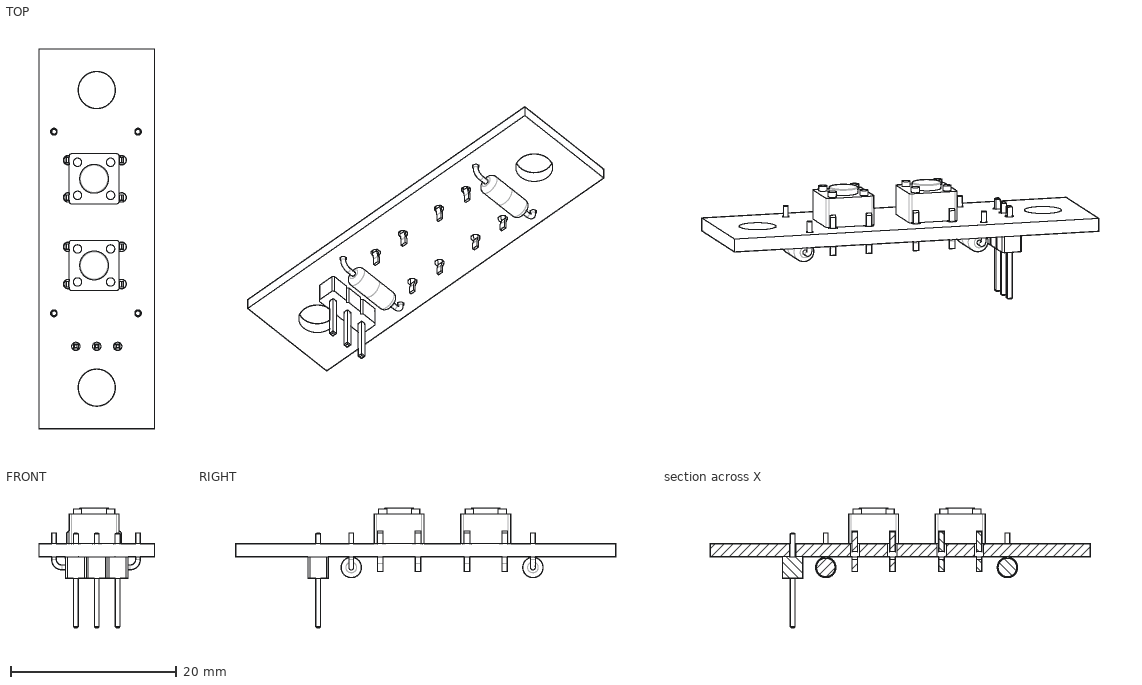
import cadquery as cq

BOARD_WIDTH = 14.0
BOARD_LENGTH = 46.0
BOARD_THICKNESS = 1.6
BOARD_BOTTOM = -BOARD_THICKNESS
MOUNT_HOLE_DIAMETER = 4.45
MOUNT_HOLE_SPACING = 36.0

SWITCH_X = -0.3
SWITCH_YS = (7.25, -3.2)
CASE_SIDE = 6.05
CASE_HEIGHT = 3.6
CASE_CORNER_FILLET = 0.3
CAP_DIAMETER = 3.5
CAP_HEIGHT = 0.75
CAP_FILLET = 0.1
NUB_DIAMETER = 1.0
NUB_HEIGHT = 0.6
NUB_SPACING = 4.0
LEG_WIDTH = 0.7
LEG_SPACING = 4.55
LEG_THICKNESS = 0.28
LEG_TOP = 1.5
LEG_TOP_CHAMFER = 0.25
LEG_BULGE = 0.25
LEG_KINK_DEPTH = 0.85
LEG_TIP_DEPTH = 1.8
LEG_HOLE_DIAMETER = 1.1
LEG_HOLE_SPACING_X = 6.5
LEG_HOLE_SPACING_Y = 4.5
LEG_HOLE_CENTER_X = -0.25

RESISTOR_X = -0.1
RESISTOR_YS = (12.95, -9.0)
RESISTOR_DIAMETER = 2.5
RESISTOR_LENGTH = 6.45
RESISTOR_END_FILLET = 0.6
RESISTOR_GAP = 0.05
RESISTOR_AXIS_Z = BOARD_BOTTOM - RESISTOR_GAP - RESISTOR_DIAMETER / 2
LEAD_DIAMETER = 0.6
LEAD_SPACING = 10.15
LEAD_BEND_RADIUS = 0.95
LEAD_TOP = 1.3
LEAD_HOLE_DIAMETER = 0.8

HEADER_Y = -13.0
PIN_COUNT = 3
PIN_PITCH = 2.55
PIN_XS = [(i - (PIN_COUNT - 1) / 2) * PIN_PITCH for i in range(PIN_COUNT)]
PIN_SIDE = 0.6
PIN_TOP = 1.3
PIN_LENGTH_BELOW_BOARD = 8.6
PIN_TIP_CHAMFER = 0.15
PIN_HOLE_DIAMETER = 1.0
HOUSING_DEPTH = 2.5
HOUSING_HEIGHT = 2.6
HOUSING_CHAMFER = 0.25


def drill(board, centers, diameter):
    """Drill a through hole in the board at each centre."""
    holes = cq.Workplane("XY").pushPoints(centers).circle(diameter / 2).extrude(-BOARD_THICKNESS)
    return board.cut(holes)


def make_board():
    """Plate with two mounting holes and a clearance hole for every lead, leg and pin."""
    board = cq.Workplane("XY").rect(BOARD_WIDTH, BOARD_LENGTH).extrude(-BOARD_THICKNESS)

    mount_holes = [(0, side * MOUNT_HOLE_SPACING / 2) for side in (-1, 1)]
    lead_holes = [(RESISTOR_X + side * LEAD_SPACING / 2, y) for side in (-1, 1) for y in RESISTOR_YS]
    pin_holes = [(x, HEADER_Y) for x in PIN_XS]
    leg_holes = [
        (LEG_HOLE_CENTER_X + side_x * LEG_HOLE_SPACING_X / 2, y + side_y * LEG_HOLE_SPACING_Y / 2)
        for y in SWITCH_YS
        for side_x in (-1, 1)
        for side_y in (-1, 1)
    ]

    board = drill(board, mount_holes, MOUNT_HOLE_DIAMETER)
    board = drill(board, lead_holes, LEAD_HOLE_DIAMETER)
    board = drill(board, pin_holes, PIN_HOLE_DIAMETER)
    return drill(board, leg_holes, LEG_HOLE_DIAMETER)


def make_leg():
    """Kinked strip on the +X side of a switch, centred on Y = 0."""
    inner = CASE_SIDE / 2
    outer = inner + LEG_THICKNESS
    kink_z = BOARD_BOTTOM - LEG_KINK_DEPTH
    tip_z = BOARD_BOTTOM - LEG_TIP_DEPTH
    profile = [
        (inner, LEG_TOP),
        (outer - LEG_TOP_CHAMFER, LEG_TOP),
        (outer, LEG_TOP - LEG_TOP_CHAMFER),
        (outer, 0),
        (outer + LEG_BULGE, BOARD_BOTTOM),
        (outer, kink_z),
        (outer, tip_z),
        (inner, tip_z),
        (inner, kink_z),
        (inner + LEG_BULGE, BOARD_BOTTOM),
        (inner, 0),
    ]
    return cq.Workplane("XZ").polyline(profile).close().extrude(LEG_WIDTH / 2, both=True)


def make_switch(y):
    """Square case with a round cap, four corner nubs and four legs through the board."""
    case = cq.Workplane("XY").rect(CASE_SIDE, CASE_SIDE).extrude(CASE_HEIGHT)
    case = case.edges("|Z").fillet(CASE_CORNER_FILLET)

    case_top = cq.Workplane("XY").workplane(offset=CASE_HEIGHT)
    cap = case_top.circle(CAP_DIAMETER / 2).extrude(CAP_HEIGHT)
    cap = cap.faces(">Z").edges().fillet(CAP_FILLET)
    nubs = case_top.rect(NUB_SPACING, NUB_SPACING, forConstruction=True).vertices()
    nubs = nubs.circle(NUB_DIAMETER / 2).extrude(NUB_HEIGHT)
    switch = case.union(cap).union(nubs)

    right_leg = make_leg()
    for leg in (right_leg, right_leg.mirror("YZ")):
        for side in (-1, 1):
            switch = switch.union(leg.translate((0, side * LEG_SPACING / 2, 0)))
    return switch.translate((SWITCH_X, y, 0))


def make_resistor(y):
    """Round-ended cylinder along X on a bent wire whose ends rise through the board."""
    body = cq.Workplane("YZ").circle(RESISTOR_DIAMETER / 2).extrude(RESISTOR_LENGTH / 2, both=True)
    body = body.edges().fillet(RESISTOR_END_FILLET)

    lead_x = LEAD_SPACING / 2
    bend_x = lead_x - LEAD_BEND_RADIUS
    bend_top = LEAD_BEND_RADIUS
    lead_top = LEAD_TOP - RESISTOR_AXIS_Z
    path = (
        cq.Workplane("XZ")
        .moveTo(-lead_x, lead_top)
        .lineTo(-lead_x, bend_top)
        .tangentArcPoint((-bend_x, 0), relative=False)
        .lineTo(bend_x, 0)
        .tangentArcPoint((lead_x, bend_top), relative=False)
        .lineTo(lead_x, lead_top)
    )
    wire_end = cq.Workplane("XY", origin=(-lead_x, 0, lead_top))
    wire = wire_end.circle(LEAD_DIAMETER / 2).sweep(path)
    return body.union(wire).translate((RESISTOR_X, y, RESISTOR_AXIS_Z))


def make_header():
    """Row of chamfered housing blocks, each with a square pin through it."""
    pin_bottom = BOARD_BOTTOM - PIN_LENGTH_BELOW_BOARD
    block = (
        cq.Workplane("XY")
        .workplane(offset=BOARD_BOTTOM)
        .rect(PIN_PITCH, HOUSING_DEPTH)
        .extrude(-HOUSING_HEIGHT)
        .edges("|Z")
        .chamfer(HOUSING_CHAMFER)
    )
    pin = (
        cq.Workplane("XY")
        .workplane(offset=pin_bottom)
        .rect(PIN_SIDE, PIN_SIDE)
        .extrude(PIN_TOP - pin_bottom)
        .faces("<Z or >Z")
        .edges()
        .chamfer(PIN_TIP_CHAMFER)
    )
    segment = block.union(pin)
    header = cq.Workplane("XY")
    for x in PIN_XS:
        header = header.union(segment.translate((x, HEADER_Y, 0)))
    return header


board = make_board()
switches = [make_switch(y) for y in SWITCH_YS]
resistors = [make_resistor(y) for y in RESISTOR_YS]
header = make_header()

bodies = [board, *switches, *resistors, header]

result = cq.Compound.makeCompound([body.solids().val() for body in bodies])